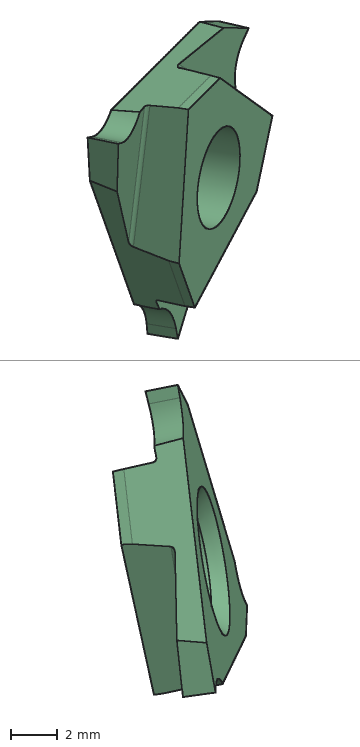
import cadquery as cq
import math

THICKNESS = 3.175
CORNER_COUNT = 3

FLANK_RADIUS = 4.715
RELIEF_ANGLE = 4.2
RELIEF_DEPTH = 2.695

TIP_RADIUS = 7.973
TIP_DIRECTION = 32.87
TIP_LEAN = 2.0
TIP_FLANK_ANGLE = 6.2
GULLET_RADIUS = 1.95
GULLET_EXIT_ANGLE = 20.0
GULLET_LAND = 0.55

NOTCH_FLOOR_X = 0.98
NOTCH_WALL_Y = -4.01
NOTCH_WALL_ANGLE = 8.1
NOTCH_RISE_Y = 0.067
NOTCH_RISE_Z = 0.065
NOTCH_FILLET = 0.18

BORE_RADIUS = 2.25
SEAT_RADIUS = 2.41
CONE_JOIN_RADIUS = 2.61
SINK_RADIUS = 3.25
SINK_DEPTH = 0.67
SEAT_DEPTH = 1.36

CLEARANCE = 10.0


def triangle(inscribed_radius):
    """Corner points (Y, Z) of a triangle with one side facing +Z."""
    corner_radius = inscribed_radius / math.cos(math.pi / CORNER_COUNT)
    points = []
    for i in range(CORNER_COUNT):
        angle = math.pi / 2 + (2 * i + 1) * math.pi / CORNER_COUNT
        points.append((corner_radius * math.cos(angle), corner_radius * math.sin(angle)))
    return points


def body():
    face_radius = FLANK_RADIUS - RELIEF_DEPTH * math.tan(math.radians(RELIEF_ANGLE))
    relieved = cq.Workplane("YZ").polyline(triangle(face_radius)).close()
    relieved = relieved.workplane(offset=RELIEF_DEPTH).polyline(triangle(FLANK_RADIUS)).close()
    relieved = relieved.loft(ruled=True)
    straight = cq.Workplane("YZ", origin=(RELIEF_DEPTH, 0, 0))
    straight = straight.polyline(triangle(FLANK_RADIUS)).close().extrude(THICKNESS - RELIEF_DEPTH)
    return relieved.union(straight)


def tip_cutter():
    """Everything outside the gullet, the land and the tip flank of one corner."""
    direction = math.radians(TIP_DIRECTION)
    tip_y = -TIP_RADIUS * math.cos(direction)
    tip_z = TIP_RADIUS * math.sin(direction)

    exit_angle = math.radians(GULLET_EXIT_ANGLE)
    land_y = tip_y + GULLET_LAND * math.cos(exit_angle)
    land_z = tip_z - GULLET_LAND * math.sin(exit_angle)
    centre_y = land_y + GULLET_RADIUS * math.sin(exit_angle)
    centre_z = land_z + GULLET_RADIUS * math.cos(exit_angle)

    flank_lean = CLEARANCE * math.tan(math.radians(TIP_FLANK_ANGLE))
    outer_y = tip_y - CLEARANCE
    profile = (
        cq.Workplane("YZ")
        .moveTo(tip_y, tip_z)
        .lineTo(land_y, land_z)
        .threePointArc((centre_y, centre_z - GULLET_RADIUS), (centre_y + GULLET_RADIUS, centre_z))
        .lineTo(centre_y + GULLET_RADIUS, tip_z + CLEARANCE)
        .lineTo(outer_y, tip_z + CLEARANCE)
        .lineTo(outer_y, tip_z - CLEARANCE)
        .lineTo(tip_y + flank_lean, tip_z - CLEARANCE)
        .close()
    )
    cutter = profile.extrude(THICKNESS, both=True)
    tip = cq.Vector(0, tip_y, tip_z)
    tangent = cq.Vector(0, math.sin(direction), math.cos(direction))
    return cutter.rotate(tip.toTuple(), (tip + tangent).toTuple(), TIP_LEAN)


def notch_cutter():
    """Tilted block whose base is the notch floor and whose side is the notch wall."""
    wall_angle = math.radians(NOTCH_WALL_ANGLE)
    floor_normal = cq.Vector(1, NOTCH_RISE_Y, -NOTCH_RISE_Z)
    wall_along = cq.Vector(0, -math.sin(wall_angle), -math.cos(wall_angle))
    outward = wall_along.cross(floor_normal)
    floor = cq.Plane(origin=(NOTCH_FLOOR_X, NOTCH_WALL_Y, 0), xDir=outward, normal=floor_normal)
    block = cq.Workplane(floor).box(CLEARANCE, 2 * CLEARANCE, CLEARANCE, centered=(False, True, False))
    foot = cq.selectors.NearestToPointSelector(floor.origin.toTuple())
    return block.edges(foot).fillet(NOTCH_FILLET)


def screw_hole():
    half_section = [
        (0, 0),
        (0, -SINK_RADIUS),
        (SINK_DEPTH, -CONE_JOIN_RADIUS),
        (SEAT_DEPTH, -SEAT_RADIUS),
        (SEAT_DEPTH, -BORE_RADIUS),
        (THICKNESS, -BORE_RADIUS),
        (THICKNESS, 0),
    ]
    return cq.Workplane("XZ").polyline(half_section).close().revolve(360, (0, 0, 0), (1, 0, 0))


result = body().cut(screw_hole())
corner = tip_cutter().union(notch_cutter())
for i in range(CORNER_COUNT):
    result = result.cut(corner.rotate((0, 0, 0), (1, 0, 0), 360.0 * i / CORNER_COUNT))